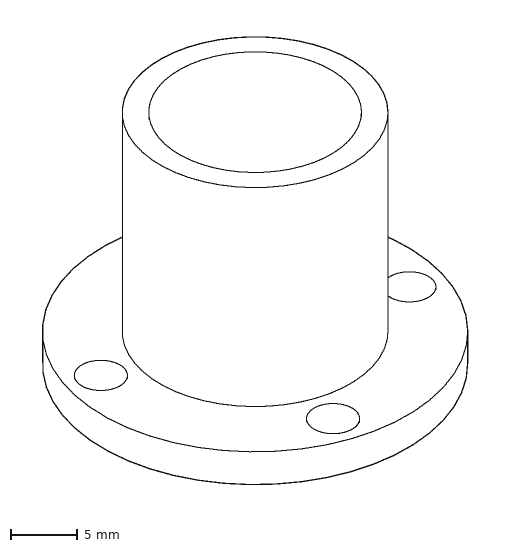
import cadquery as cq

flange_diameter = 32.0
flange_thickness = 3.0
tube_diameter = 20.0
tube_length = 20.0
bore_diameter = 16.0
bolt_hole_diameter = 4.0
bolt_hole_count = 4

bolt_circle_radius = (tube_diameter + flange_diameter) / 4
total_height = flange_thickness + tube_length


def make_flange():
    """Round flange with its underside at Z = 0."""
    return cq.Workplane("XY").circle(flange_diameter / 2).extrude(flange_thickness)


def make_tube():
    """Outer cylinder of the tube, running from the underside to the top."""
    return cq.Workplane("XY").circle(tube_diameter / 2).extrude(total_height)


def make_bore():
    """Cutter for the bore through the full height."""
    return cq.Workplane("XY").circle(bore_diameter / 2).extrude(total_height)


def make_bolt_holes():
    """Cutters for the flange holes, the first one on the +X axis."""
    return (
        cq.Workplane("XY")
        .polarArray(bolt_circle_radius, 0, 360, bolt_hole_count)
        .circle(bolt_hole_diameter / 2)
        .extrude(flange_thickness)
    )


result = make_flange().union(make_tube()).cut(make_bore()).cut(make_bolt_holes())